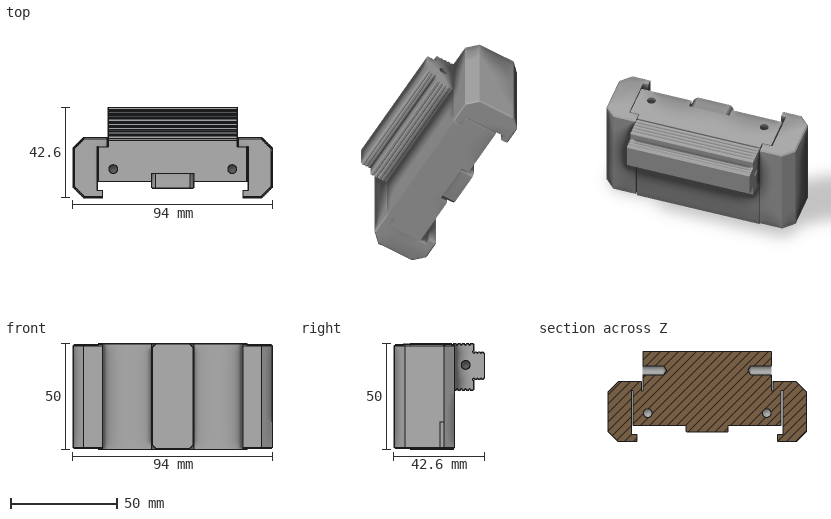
import cadquery as cq
import math


block_width = 69.9
block_height = 50.0
block_front = 7.6
shoulder_y = 24.0
neck_width = 60.9
neck_back = 28.0
top_z = block_height / 2

pad_width = 20.0
pad_back = 11.5
pad_front = 4.4
pad_height = 49.05
pad_drop = 0.3
pad_corner = 2.0
pad_edge_chamfer = 0.6

clamp_outer_x = 46.9
clamp_depth = 28.5
clamp_height = 49.05
clamp_corner = 5.0
clamp_edge_chamfer = 0.7
clamp_wall_x = 35.5
front_lip_x = 33.0
front_lip_thickness = 3.6
neck_clearance = 0.5
back_lip_x = neck_width / 2 + neck_clearance

overall_width = 94.0
strip_height = 12.0
strip_depth = 1.9
strip_thickness = overall_width - 2 * clamp_outer_x
strip_bottom = -clamp_height / 2 + clamp_edge_chamfer
strip_back = clamp_depth - clamp_corner

jaw_height = 22.0
jaw_back = 37.5
jaw_chamfer = 0.5
head_drop = 3.9
head_height = 13.0
head_back = 42.6
head_top = top_z - head_drop
head_chamfer = 0.8
relief_diameter = 0.9

jaw_groove_count = 4
jaw_groove_pitch = 2.0
jaw_groove_width = 1.0
jaw_groove_depth = 0.8
jaw_groove_offset = 2.0
root_slot_width = 0.9
root_slot_depth = 0.8
head_groove_count = 3
head_groove_pitch = 1.7
head_groove_width = 0.8
head_groove_depth = 0.7

hole_diameter = 4.1
hole_depth = 10.0
drill_point_angle = 118
top_hole_x = 28.0
top_hole_y = 13.5
side_hole_y = 33.6
side_hole_drop = 10.1


def box_between(x_min, x_max, y_min, y_max, z_min, z_max):
    """Box given by its limits along each axis."""
    size = (x_max - x_min, y_max - y_min, z_max - z_min)
    return cq.Workplane("XY").box(*size, centered=False).translate((x_min, y_min, z_min))


def box_across(width, y_min, y_max, z_min, z_max):
    """Box centred on X = 0."""
    return box_between(-width / 2, width / 2, y_min, y_max, z_min, z_max)


def drill(entry, direction):
    """Tool for a blind hole with a conical end."""
    radius = hole_diameter / 2
    tip_length = radius / math.tan(math.radians(drill_point_angle / 2))
    start = cq.Vector(*entry)
    axis = cq.Vector(*direction)
    shaft = cq.Solid.makeCylinder(radius, hole_depth, start, axis)
    tip = cq.Solid.makeCone(radius, 0, tip_length, start + axis * hole_depth, axis)
    return cq.Workplane(shaft.fuse(tip))


def make_block():
    body = box_across(block_width, block_front, shoulder_y, -top_z, top_z)
    neck = box_across(neck_width, shoulder_y, neck_back, -top_z, top_z)
    slot = box_across(pad_width, block_front, pad_back, -top_z, top_z)
    return body.union(neck).cut(slot)


def make_pad():
    pad_top = top_z - pad_drop
    pad = box_across(pad_width, pad_front, pad_back, pad_top - pad_height, pad_top)
    pad = pad.edges("|Y").chamfer(pad_corner)
    return pad.faces("<Y").edges("|Z").chamfer(pad_edge_chamfer)


def make_right_clamp():
    """C-shaped clamp: chamfered outside, hollowed towards the block."""
    inner_x = back_lip_x
    clamp = box_between(inner_x, clamp_outer_x, 0, clamp_depth, -clamp_height / 2, clamp_height / 2)
    clamp = clamp.edges("|Z and >X").chamfer(clamp_corner)
    clamp = clamp.faces("<Z or >Z").edges("not <X").chamfer(clamp_edge_chamfer)
    hollow = box_between(inner_x, clamp_wall_x, front_lip_thickness, shoulder_y, -top_z, top_z)
    lip_trim = box_between(inner_x, front_lip_x, 0, front_lip_thickness, -top_z, top_z)
    return clamp.cut(hollow).cut(lip_trim)


def make_strip():
    return box_between(
        clamp_wall_x,
        clamp_outer_x + strip_thickness,
        strip_back - strip_depth,
        strip_back,
        strip_bottom,
        strip_bottom + strip_height,
    )


def v_groove(y, face_z, inward, width, depth):
    """V-groove tool along X; inward is +1 or -1, the way it cuts along Z."""
    points = [
        (y - width / 2, face_z),
        (y + width / 2, face_z),
        (y, face_z + inward * depth),
    ]
    return cq.Workplane("YZ").polyline(points).close().extrude(neck_width / 2, both=True)


def make_jaw():
    jaw = box_across(neck_width, shoulder_y, jaw_back, top_z - jaw_height, top_z)
    jaw = jaw.faces(">Y").edges("|X").chamfer(jaw_chamfer)
    head = box_across(neck_width, shoulder_y, head_back, head_top - head_height, head_top)
    head = head.faces(">Y").edges("|X").chamfer(head_chamfer)
    return jaw.union(head)


def cut_grooves(part):
    """Cut the gripping grooves, the inner-corner reliefs and the slot at the root of the jaw."""
    for face_z, inward in ((top_z, -1), (top_z - jaw_height, 1)):
        for i in range(jaw_groove_count):
            y = jaw_back - jaw_groove_offset - i * jaw_groove_pitch
            part = part.cut(v_groove(y, face_z, inward, jaw_groove_width, jaw_groove_depth))
    for face_z, inward in ((head_top, -1), (head_top - head_height, 1)):
        for i in range(head_groove_count):
            y = jaw_back + i * head_groove_pitch
            part = part.cut(v_groove(y, face_z, inward, head_groove_width, head_groove_depth))
        relief = cq.Workplane("YZ").center(jaw_back, face_z).circle(relief_diameter / 2)
        part = part.cut(relief.extrude(neck_width / 2, both=True))
    root_slot = box_across(neck_width, neck_back - root_slot_width, neck_back, top_z - root_slot_depth, top_z)
    return part.cut(root_slot)


right_clamp = make_right_clamp()
left_clamp = right_clamp.mirror("YZ")

result = cut_grooves(make_block().union(make_jaw()))
for piece in (make_pad(), right_clamp, left_clamp, make_strip()):
    result = result.union(piece)

for side in (-1, 1):
    result = result.cut(drill((side * top_hole_x, top_hole_y, top_z), (0, 0, -1)))
    side_entry = (side * neck_width / 2, side_hole_y, top_z - side_hole_drop)
    result = result.cut(drill(side_entry, (-side, 0, 0)))